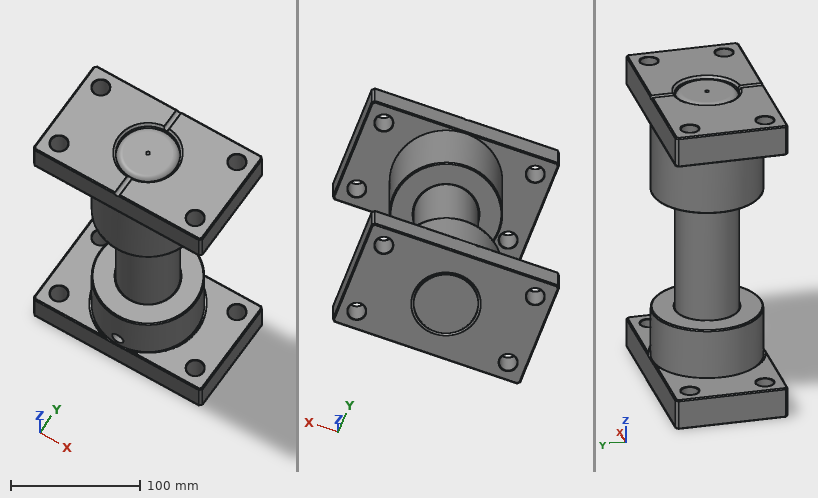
import cadquery as cq
total_height = 250.5
pin_end_recess = 0.8
pin_length = total_height - pin_end_recess

plate_length = 155.0
plate_width = 90.0
plate_thickness = 25.0
plate_corner_chamfer = 2.0
plate_edge_chamfer = 1.0
bolt_hole_diameter = 14.0
bolt_hole_chamfer = 0.5
bolt_spacing_x = 125.2
bolt_spacing_y = 60.0

collar_diameter = 87.6
lower_collar_height = 40.0
upper_collar_height = 60.0
collar_chamfer = 1.0
relief_width = 1.8
relief_depth = 1.3

pin_diameter = 50.0
pin_radius = pin_diameter / 2
pin_end_fillet = 5.5
tip_diameter = 3.0
tip_height = pin_end_recess
bore_chamfer = 2.0
collar_bore_chamfer = 1.0

radial_hole_diameter = 10.3
radial_hole_height = 32.5
vent_width = 4.5
vent_depth = 2.0


def make_plate():
    """Bevelled plate standing on the XY plane."""
    return (
        cq.Workplane("XY")
        .box(plate_length, plate_width, plate_thickness, centered=(True, True, False))
        .edges("|Z")
        .chamfer(plate_corner_chamfer)
        .faces("<Z or >Z")
        .edges()
        .chamfer(plate_edge_chamfer)
    )


def make_bolt_holes():
    """Cutters for the four bolt holes, countersunk slightly at both ends."""
    radius = bolt_hole_diameter / 2
    flared = radius + bolt_hole_chamfer
    profile = [
        (0, 0),
        (flared, 0),
        (radius, bolt_hole_chamfer),
        (radius, plate_thickness - bolt_hole_chamfer),
        (flared, plate_thickness),
        (0, plate_thickness),
    ]
    cutter = cq.Workplane("XZ").polyline(profile).close().revolve(360, (0, 0), (0, 1)).val()
    return (
        cq.Workplane("XY")
        .rect(bolt_spacing_x, bolt_spacing_y, forConstruction=True)
        .vertices()
        .eachpoint(lambda place: cutter.moved(place))
    )


def make_relief():
    """Shallow ring groove cutter, sunk in the plate around the collar's foot."""
    radius = collar_diameter / 2
    return (
        cq.Workplane("XY", origin=(0, 0, plate_thickness - relief_depth))
        .circle(radius + relief_width)
        .circle(radius)
        .extrude(relief_depth)
    )


def make_bore(height):
    """Cutter for the pin bore, flared at the plate end and at the collar end."""
    profile = [
        (0, 0),
        (pin_radius + bore_chamfer, 0),
        (pin_radius, bore_chamfer),
        (pin_radius, height - collar_bore_chamfer),
        (pin_radius + collar_bore_chamfer, height),
        (0, height),
    ]
    return cq.Workplane("XZ").polyline(profile).close().revolve(360, (0, 0), (0, 1))


def make_holder(collar_height):
    """Plate with a bored collar rising from it, rooted at half the plate's thickness."""
    height = plate_thickness + collar_height
    collar = (
        cq.Workplane("XY", origin=(0, 0, plate_thickness / 2))
        .circle(collar_diameter / 2)
        .extrude(height - plate_thickness / 2)
        .faces(">Z")
        .edges()
        .chamfer(collar_chamfer)
    )
    plate = make_plate().cut(make_bolt_holes())
    return plate.union(collar).cut(make_bore(height))


def make_lower_holder():
    """Lower holder with a radial hole from the front of its collar into the bore."""
    radial_hole = (
        cq.Workplane("XZ", origin=(0, 0, radial_hole_height))
        .circle(radial_hole_diameter / 2)
        .extrude(collar_diameter)
    )
    return make_holder(lower_collar_height).cut(make_relief()).cut(radial_hole)


def make_upper_holder():
    """Upper holder, collar downward, with a round-bottomed vent groove across its top."""
    holder = (
        make_holder(upper_collar_height)
        .rotate((0, 0, 0), (1, 0, 0), 180)
        .translate((0, 0, total_height))
    )
    half_width = vent_width / 2
    vent = (
        cq.Workplane("XZ", origin=(0, 0, total_height))
        .moveTo(-half_width, 0)
        .threePointArc((0, -vent_depth), (half_width, 0))
        .close()
        .extrude(plate_width / 2, both=True)
    )
    return holder.cut(vent)


def make_pin():
    """Guide pin with a rounded top end and a small pointed tip at its centre."""
    shaft = (
        cq.Workplane("XY")
        .circle(pin_radius)
        .extrude(pin_length)
        .faces(">Z")
        .edges()
        .fillet(pin_end_fillet)
    )
    tip = cq.Solid.makeCone(tip_diameter / 2, 0, tip_height, pnt=cq.Vector(0, 0, pin_length))
    return shaft.union(tip)


lower_holder = make_lower_holder()
upper_holder = make_upper_holder()
pin = make_pin()

result = cq.Compound.makeCompound([lower_holder.val(), upper_holder.val(), pin.val()])